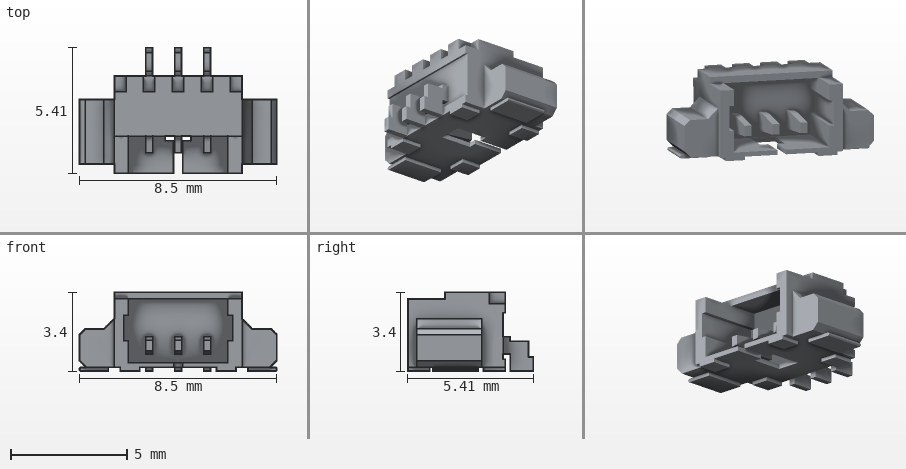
import cadquery as cq


OVERALL_WIDTH = 8.5
OVERALL_DEPTH = 5.41
OVERALL_HEIGHT = 3.4
PIN_COUNT = 3
PIN_PITCH = 1.25
PIN_WIDTH = 0.31
STANDOFF = 0.15

HOUSING_WIDTH = 5.5
HOUSING_DEPTH = 4.2
ROOF_THICKNESS = 0.3
ROOF_FRONT = 1.6
REAR_RECESS_DEPTH = 0.1
REAR_RECESS_BOTTOM = 0.51
REAR_RECESS_TOP = 2.51

CAVITY_WIDTH = 4.275
CAVITY_DEPTH = 3.0
FLOOR_TOP = 0.36
GROOVE_WIDTH = 4.69
GROOVE_BOTTOM = 1.31
GROOVE_TOP = 2.405

SLOT_WIDTH = 0.38
WINDOW_WIDTH = 1.105
WINDOW_FRONT = 1.41
WINDOW_BACK = 2.915

NOTCH_DEPTH = 0.7
NOTCH_HEIGHT = 0.51
NOTCH_WIDTH = 0.49
CORNER_NOTCH_WIDTH = 0.51

WING_FRONT = 0.39
WING_BACK = 3.18
WING_TOP = 1.81
WING_TOP_CHAMFER = 0.25
WING_BOTTOM_CHAMFER = 0.3
WING_BRACE = 0.44

TAB_WIDTH = 1.25
TAB_FRONT = 1.08
TAB_BACK = 3.03
TAB_CHAMFER = 0.05

FOOT_INNER = 1.65
FOOT_WIDTH = 0.85
FOOT_DEPTH = 0.95

PIN_TIP = 0.875
PIN_TAPER_START = 2.34
PIN_TAPER_DROP = 0.15
PIN_TAPER_RISE = 0.14
PIN_BOTTOM = 0.73
PIN_TOP = 1.48
TAIL_FRONT = 4.4
TAIL_SHOULDER = 1.28
TAIL_REAR = 5.19
SOLDER_STEP_TOP = 0.61

PIN_POSITIONS = [(i - (PIN_COUNT - 1) / 2) * PIN_PITCH for i in range(PIN_COUNT)]


def block(x_range, y_range, z_range):
    """Box spanning the given (low, high) ranges."""
    lows, highs = zip(x_range, y_range, z_range)
    size = [high - low for low, high in zip(lows, highs)]
    return cq.Workplane("XY").box(*size, centered=False).translate(lows)


def centred_block(width, y_range, z_range):
    """Box centred on X = 0."""
    return block((-width / 2, width / 2), y_range, z_range)


def with_mirror(body):
    """The body together with its mirror image across X = 0."""
    return body.union(body.mirror("YZ"))


def make_shell():
    """Side profile of the housing, with its low front and rear recess, run across the width."""
    roof_underside = OVERALL_HEIGHT - ROOF_THICKNESS
    recess_y = HOUSING_DEPTH - REAR_RECESS_DEPTH
    profile = [
        (0, STANDOFF),
        (HOUSING_DEPTH, STANDOFF),
        (HOUSING_DEPTH, REAR_RECESS_BOTTOM),
        (recess_y, REAR_RECESS_BOTTOM),
        (recess_y, REAR_RECESS_TOP),
        (HOUSING_DEPTH, REAR_RECESS_TOP),
        (HOUSING_DEPTH, OVERALL_HEIGHT),
        (ROOF_FRONT, OVERALL_HEIGHT),
        (ROOF_FRONT, roof_underside),
        (0, roof_underside),
    ]
    return cq.Workplane("YZ").polyline(profile).close().extrude(HOUSING_WIDTH / 2, both=True)


def make_cavity():
    """Socket with a groove in each side wall, plus the opening through its floor."""
    socket_y = (0, CAVITY_DEPTH)
    floor_z = (STANDOFF, FLOOR_TOP)
    cavity = centred_block(CAVITY_WIDTH, socket_y, (FLOOR_TOP, OVERALL_HEIGHT - ROOF_THICKNESS))
    grooves = centred_block(GROOVE_WIDTH, socket_y, (GROOVE_BOTTOM, GROOVE_TOP))
    slot = centred_block(SLOT_WIDTH, (0, WINDOW_BACK), floor_z)
    window = centred_block(WINDOW_WIDTH, (WINDOW_FRONT, WINDOW_BACK), floor_z)
    return cavity.union(grooves).union(slot).union(window)


def make_roof_notches():
    """Notches above each pin and at both rear corners of the roof."""
    notch_y = (HOUSING_DEPTH - NOTCH_DEPTH, HOUSING_DEPTH)
    notch_z = (OVERALL_HEIGHT - NOTCH_HEIGHT, OVERALL_HEIGHT)
    corner_x = (HOUSING_WIDTH / 2 - CORNER_NOTCH_WIDTH, HOUSING_WIDTH / 2)
    notches = with_mirror(block(corner_x, notch_y, notch_z))
    for x in PIN_POSITIONS:
        notches = notches.union(centred_block(NOTCH_WIDTH, notch_y, notch_z).translate((x, 0, 0)))
    return notches


def make_wings():
    """Chamfered side wings, each braced against the housing by a sloped top."""
    inner = HOUSING_WIDTH / 2
    outer = OVERALL_WIDTH / 2
    profile = [
        (inner, STANDOFF),
        (outer - WING_BOTTOM_CHAMFER, STANDOFF),
        (outer, STANDOFF + WING_BOTTOM_CHAMFER),
        (outer, WING_TOP - WING_TOP_CHAMFER),
        (outer - WING_TOP_CHAMFER, WING_TOP),
        (inner + WING_BRACE, WING_TOP),
        (inner, WING_TOP + WING_BRACE),
    ]
    wing = cq.Workplane("XZ", origin=(0, WING_FRONT, 0)).polyline(profile).close()
    return with_mirror(wing.extrude(WING_FRONT - WING_BACK))


def make_solder_tabs():
    """Flat tabs under the wings with chamfered outer edges."""
    outer = OVERALL_WIDTH / 2
    tab = block((outer - TAB_WIDTH, outer), (TAB_FRONT, TAB_BACK), (0, STANDOFF))
    return with_mirror(tab.faces(">X").edges("|Y").chamfer(TAB_CHAMFER))


def make_feet():
    """Four pads under the housing, flush with its front and rear faces."""
    foot_x = (FOOT_INNER, FOOT_INNER + FOOT_WIDTH)
    foot_z = (0, STANDOFF)
    front = block(foot_x, (0, FOOT_DEPTH), foot_z)
    rear = block(foot_x, (HOUSING_DEPTH - FOOT_DEPTH, HOUSING_DEPTH), foot_z)
    return with_mirror(front.union(rear))


def make_pin():
    """Flat pin with a tapered contact tip and a stepped solder tail."""
    profile = [
        (PIN_TIP, PIN_BOTTOM + PIN_TAPER_RISE),
        (PIN_TAPER_START, PIN_BOTTOM),
        (TAIL_FRONT, PIN_BOTTOM),
        (TAIL_FRONT, 0),
        (OVERALL_DEPTH, 0),
        (OVERALL_DEPTH, SOLDER_STEP_TOP),
        (TAIL_REAR, SOLDER_STEP_TOP),
        (TAIL_REAR, TAIL_SHOULDER),
        (TAIL_FRONT, TAIL_SHOULDER),
        (TAIL_FRONT, PIN_TOP),
        (PIN_TAPER_START, PIN_TOP),
        (PIN_TIP, PIN_TOP - PIN_TAPER_DROP),
    ]
    return cq.Workplane("YZ").polyline(profile).close().extrude(PIN_WIDTH / 2, both=True)


result = make_shell().cut(make_cavity()).cut(make_roof_notches())
result = result.union(make_wings()).union(make_solder_tabs()).union(make_feet())
for pin_x in PIN_POSITIONS:
    result = result.union(make_pin().translate((pin_x, 0, 0)))